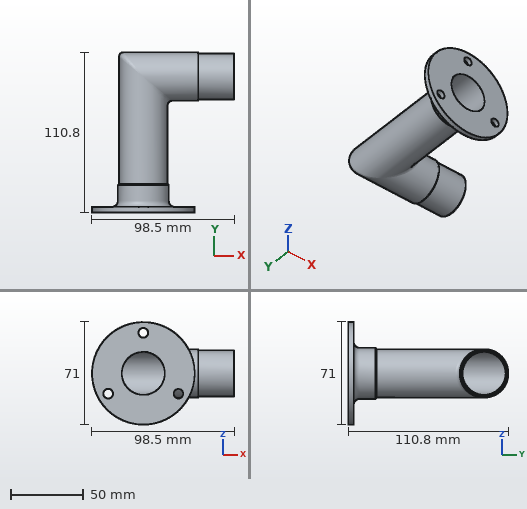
import cadquery as cq
import math

flange_dia = 71.0
flange_thick = 4.0
screw_hole_dia = 6.5
screw_circle_radius = 28.0
screw_count = 3
first_screw_angle = 90

collar_dia = 35.5
collar_top = 20.0
collar_chamfer = 1.0
foot_fillet = 4.0

tube_dia = 33.7
bore_dia = 29.7
total_length = 110.8
total_width = 98.5
elbow_y = total_length - tube_dia / 2
arm_end_x = 37.9
elbow_fillet = 3.0
path_overrun = 20
path_samples = 80

spigot_dia = 32.0
spigot_end_x = total_width - flange_dia / 2
spigot_chamfer = 0.5


def along_y(diameter, start, end):
    """Cylinder on the post axis."""
    plane = cq.Plane(origin=(0, start, 0), xDir=(1, 0, 0), normal=(0, 1, 0))
    return cq.Workplane(plane).circle(diameter / 2).extrude(end - start)


def along_x(diameter, start, end):
    """Cylinder on the arm axis."""
    plane = cq.Plane(origin=(start, elbow_y, 0), xDir=(0, 1, 0), normal=(1, 0, 0))
    return cq.Workplane(plane).circle(diameter / 2).extrude(end - start)


def mitred_elbow(diameter, arm_end):
    """Post and arm cylinders joined on a 45 degree mitre plane."""
    reach = total_length
    post_side = (
        cq.Workplane("XY")
        .polyline([(-reach, elbow_y + reach), (reach, elbow_y - reach), (-reach, elbow_y - reach)])
        .close()
        .extrude(diameter, both=True)
    )
    post = along_y(diameter, 0, elbow_y + diameter).intersect(post_side)
    arm = along_x(diameter, -diameter, arm_end).cut(post_side)
    return post.union(arm)


def mitre_blend_pipe(centre_radius, side):
    """Ball of the blend radius swept along half of a mitre ellipse: side 1 is outside the bend, -1 inside."""
    plane = cq.Plane(origin=(0, elbow_y, 0), xDir=(-side, side, 0), normal=(1, 1, 0))
    minor = centre_radius
    major = centre_radius * math.sqrt(2)
    overrun = math.radians(path_overrun)
    sweep_angle = math.pi + 2 * overrun

    def path_point(t):
        angle = -math.pi / 2 - overrun + t * sweep_angle
        return (major * math.cos(angle), minor * math.sin(angle))

    path = cq.Workplane(plane).parametricCurve(path_point, N=path_samples)
    edge = path.val()
    start = cq.Plane(origin=edge.startPoint(), normal=edge.tangentAt(0))
    return cq.Workplane(start).circle(elbow_fillet).sweep(path)


def blend_wedge(centre_radius, side):
    """Space between the two planes through the elbow in which the blend touches the tubes."""
    far = 2 * tube_dia
    tube_radius = tube_dia / 2
    near = far * min(centre_radius, tube_radius) / max(centre_radius, tube_radius)
    return (
        cq.Workplane("XY", origin=(0, elbow_y, 0))
        .polyline([(0, 0), (-side * far, side * near), (-side * far, side * far), (-side * near, side * far)])
        .close()
        .extrude(tube_dia, both=True)
    )


def rounded_elbow():
    """Solid elbow with its mitre blended outside and inside the bend."""
    tube_radius = tube_dia / 2
    body = mitred_elbow(tube_dia, arm_end_x)

    outer_centre = tube_radius - elbow_fillet
    outer_wedge = blend_wedge(outer_centre, 1)
    outer_core = mitred_elbow(2 * outer_centre, arm_end_x).intersect(outer_wedge)
    outer_round = outer_wedge.intersect(mitre_blend_pipe(outer_centre, 1))
    body = body.cut(outer_wedge).union(outer_core).union(outer_round)

    inner_centre = tube_radius + elbow_fillet
    filling_dia = tube_dia + elbow_fillet
    filling = mitred_elbow(filling_dia, arm_end_x).intersect(blend_wedge(inner_centre, -1))
    return body.union(filling.cut(mitre_blend_pipe(inner_centre, -1)))


def flange_with_collar():
    """Screw flange and the collar that flares into it."""
    flange = along_y(flange_dia, 0, flange_thick)
    collar = along_y(collar_dia, flange_thick, collar_top).faces(">Y").edges().chamfer(collar_chamfer)
    flare = (
        cq.Workplane("XY", origin=(0, flange_thick, 0))
        .lineTo(collar_dia / 2 + foot_fillet, 0)
        .radiusArc((collar_dia / 2, foot_fillet), foot_fillet)
        .lineTo(0, foot_fillet)
        .close()
        .revolve(360, (0, 0, 0), (0, 1, 0))
    )
    return flange.union(collar).union(flare)


def screw_holes():
    """Through holes equally spaced around the flange."""
    holes = cq.Workplane("XY")
    for index in range(screw_count):
        angle = math.radians(first_screw_angle + index * 360 / screw_count)
        x = screw_circle_radius * math.cos(angle)
        z = screw_circle_radius * math.sin(angle)
        holes = holes.union(along_y(screw_hole_dia, 0, flange_thick).translate((x, 0, z)))
    return holes


spigot = along_x(spigot_dia, arm_end_x, spigot_end_x).faces(">X").edges().chamfer(spigot_chamfer)
bore = mitred_elbow(bore_dia, spigot_end_x)

result = rounded_elbow().union(spigot).union(flange_with_collar()).cut(bore).cut(screw_holes())